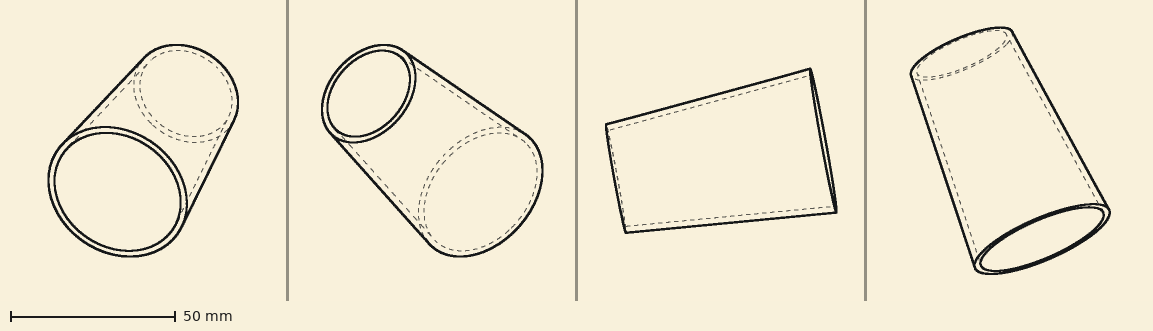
import cadquery as cq

length = 64.0
wide_diameter = 44.5
narrow_diameter = 33.55
wall = 2.0

wide_radius = wide_diameter / 2
narrow_radius = narrow_diameter / 2
wide_end = -length / 2
narrow_end = length / 2

wall_section = (
    cq.Workplane("YZ")
    .moveTo(wide_end, wide_radius - wall)
    .lineTo(wide_end, wide_radius)
    .lineTo(narrow_end, narrow_radius)
    .lineTo(narrow_end, narrow_radius - wall)
    .close()
)
result = wall_section.revolve(360, (0, 0, 0), (1, 0, 0))